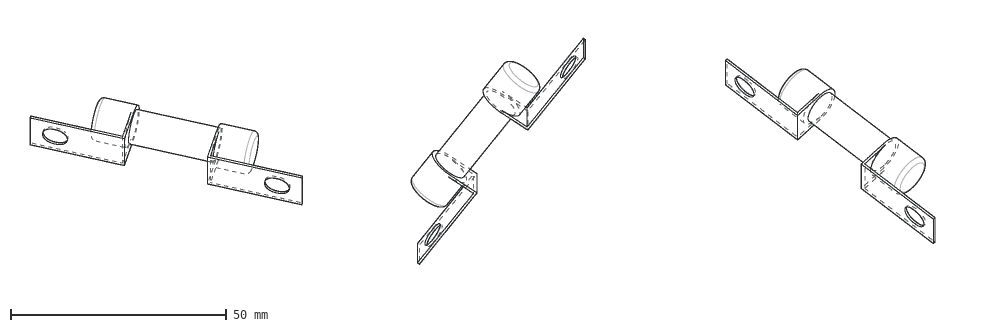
import cadquery as cq

cap_diameter = 10.3
cap_length = 9.0
cap_edge_radius = 1.0
tube_diameter = 8.3
tube_length = 20.0

overall_length = 65.5
sheet_thickness = 0.6
terminal_height = cap_diameter
terminal_drop = 7.75

slot_length = 6.0
slot_width = 5.4
slot_end_distance = 6.0

cap_inner_x = tube_length / 2
tab_length = overall_length / 2 - cap_inner_x
slot_center_x = overall_length / 2 - slot_end_distance


def make_tube():
    """Cylindrical tube joining the two caps."""
    return cq.Workplane("YZ").circle(tube_diameter / 2).extrude(cap_inner_x, both=True)


def make_cap():
    """End cap on the +X side with a rounded outer rim."""
    return (
        cq.Workplane("YZ", origin=(cap_inner_x, 0, 0))
        .circle(cap_diameter / 2)
        .extrude(cap_length)
        .faces(">X")
        .edges()
        .fillet(cap_edge_radius)
    )


def make_terminal():
    """L-shaped terminal on the +X side: a leg at the cap's inner face and a slotted tab."""
    leg = cq.Workplane("XY").box(
        sheet_thickness, terminal_drop, terminal_height, centered=(False, False, True)
    )
    tab = cq.Workplane("XY").box(
        tab_length, sheet_thickness, terminal_height, centered=(False, False, True)
    )
    bracket = leg.union(tab).translate((cap_inner_x, -terminal_drop, 0))
    slot = (
        cq.Workplane("XZ", origin=(slot_center_x, -terminal_drop, 0))
        .slot2D(slot_length, slot_width)
        .extrude(sheet_thickness, both=True)
    )
    return bracket.cut(slot)


right_end = make_cap().union(make_terminal())
left_end = right_end.mirror("YZ")

result = make_tube().union(right_end).union(left_end)